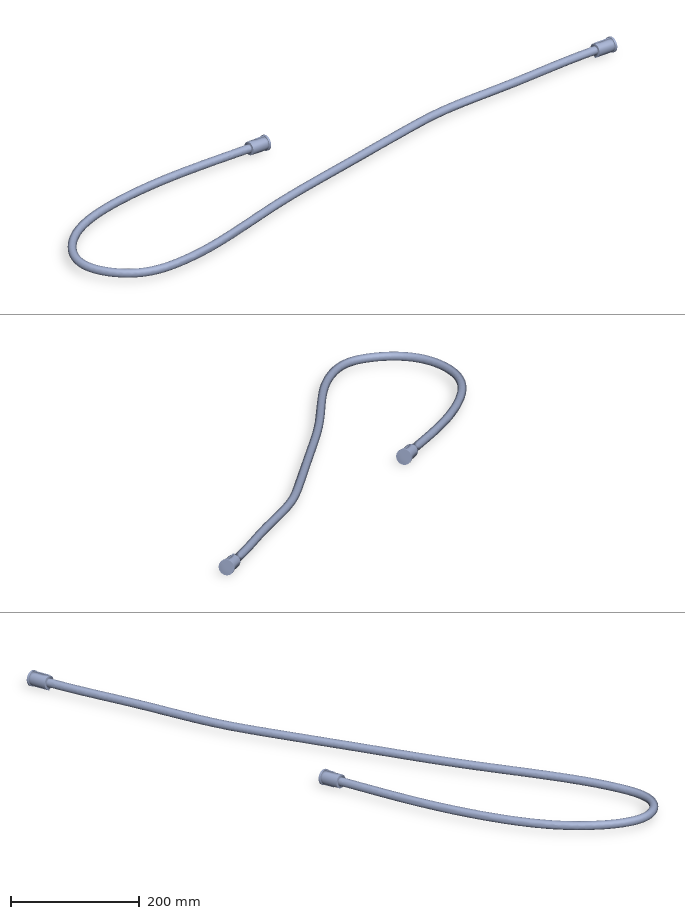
import cadquery as cq

total_length = 1156.0
hose_diameter = 14.0
hose_radius = hose_diameter / 2

fitting_length = 35.0
body_diameter = 22.0
rim_diameter = 25.0
rim_length = 3.0
rib_width = 2.0

short_end_rib_length = 21.0

short_end_x = -69.0
short_end_y = -644.0

bend_bottom_x = 101.0
bend_bottom_y = hose_radius - total_length

hose_start = (0, -fitting_length)
hose_end = (short_end_x, short_end_y - fitting_length)

hose_curve = [
    hose_start,
    (10.0, -216.0),
    (21.0, -376.0),
    (34.0, -440.0),
    (73.0, -606.0),
    (115.0, -774.0),
    (157.0, -912.0),
    (180.0, -1026.0),
    (169.0, -1105.0),
    (bend_bottom_x, bend_bottom_y),
    (16.0, -1108.0),
    (-22.0, -1052.0),
    (-50.0, -968.0),
    (-66.0, -856.0),
    hose_end,
]


def make_hose():
    path = cq.Workplane("XY").spline(hose_curve, tangents=[(0, -1), (0, 1)])
    section = cq.Workplane("XZ", origin=(*hose_start, 0)).circle(hose_radius)
    return section.sweep(path)


def make_fitting(x, y, rib_length):
    """Fitting whose outer end is at (x, y) and which runs toward -Y."""
    end_plane = cq.Workplane("XZ", origin=(x, y, 0))
    body = end_plane.circle(body_diameter / 2).extrude(fitting_length)
    rim = end_plane.circle(rim_diameter / 2).extrude(rim_length)
    ribs = end_plane.rect(rib_width, rim_diameter).extrude(rib_length)
    rib_limit = end_plane.circle(rim_diameter / 2).extrude(rib_length)
    return body.union(rim).union(ribs.intersect(rib_limit))


long_end_fitting = make_fitting(0, 0, fitting_length)
short_end_fitting = make_fitting(short_end_x, short_end_y, short_end_rib_length)

result = make_hose().union(long_end_fitting).union(short_end_fitting)